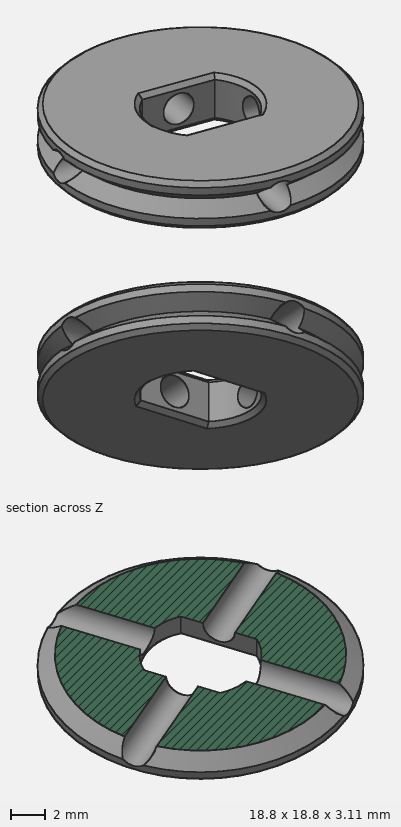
import cadquery as cq

outer_diameter = 18.75
thickness = 3.11
edge_chamfer = 0.3

groove_depth = 1.0
groove_width = 1.54

bore_diameter = 7.0
bore_flat_width = 5.1

radial_hole_diameter = 2.0

seam_angle = 45

outer_radius = outer_diameter / 2
half_thickness = thickness / 2


def grooved_disc():
    """Chamfered disc with a V groove, revolved from its half section."""
    half_groove = groove_width / 2
    chamfer_radius = outer_radius - edge_chamfer
    chamfer_height = half_thickness - edge_chamfer
    return (
        cq.Workplane("XZ")
        .moveTo(0, -half_thickness)
        .lineTo(chamfer_radius, -half_thickness)
        .lineTo(outer_radius, -chamfer_height)
        .lineTo(outer_radius, -half_groove)
        .lineTo(outer_radius - groove_depth, 0)
        .lineTo(outer_radius, half_groove)
        .lineTo(outer_radius, chamfer_height)
        .lineTo(chamfer_radius, half_thickness)
        .lineTo(0, half_thickness)
        .close()
        .revolve(360, (0, 0), (0, 1))
    )


def double_d_bore():
    """Bore cutter with flared ends that chamfer both rims of the bore."""
    bore_radius = bore_diameter / 2
    flare_radius = bore_radius + edge_chamfer
    straight_end = half_thickness - edge_chamfer
    round_cutter = (
        cq.Workplane("XZ")
        .moveTo(0, -half_thickness)
        .lineTo(flare_radius, -half_thickness)
        .lineTo(bore_radius, -straight_end)
        .lineTo(bore_radius, straight_end)
        .lineTo(flare_radius, half_thickness)
        .lineTo(0, half_thickness)
        .close()
        .revolve(360, (0, 0), (0, 1))
    )
    half_flat = bore_flat_width / 2
    half_flare = half_flat + edge_chamfer
    flat_cutter = (
        cq.Workplane("XZ")
        .polyline([
            (-half_flare, -half_thickness),
            (half_flare, -half_thickness),
            (half_flat, -straight_end),
            (half_flat, straight_end),
            (half_flare, half_thickness),
            (-half_flare, half_thickness),
            (-half_flat, straight_end),
            (-half_flat, -straight_end),
        ])
        .close()
        .extrude(outer_radius, both=True)
    )
    return round_cutter.intersect(flat_cutter)


def radial_hole(plane_name, axis):
    """Cutter through the whole disc along the given axis, turned by the seam angle."""
    cutter = cq.Workplane(plane_name).circle(radial_hole_diameter / 2).extrude(outer_diameter, both=True)
    return cutter.rotate((0, 0, 0), axis, seam_angle)


result = grooved_disc().cut(double_d_bore())
result = result.cut(radial_hole("YZ", (1, 0, 0)))
result = result.cut(radial_hole("XZ", (0, 1, 0)))